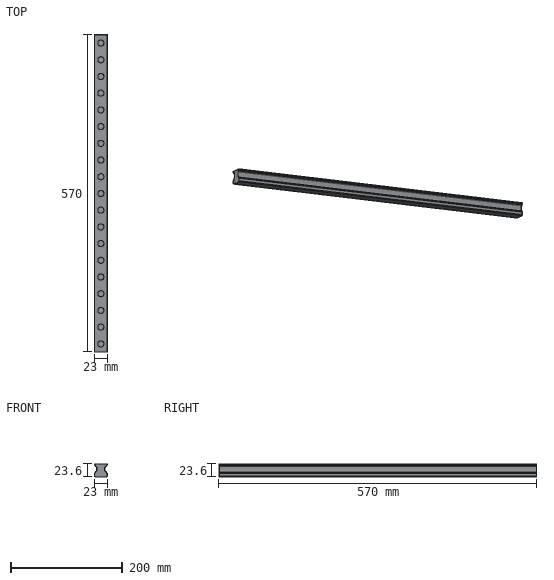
import cadquery as cq

RAIL_WIDTH = 23.0
RAIL_LENGTH = 570.0
RAIL_HEIGHT = 23.6

HALF_WIDTH = RAIL_WIDTH / 2
WAIST_HALF_WIDTH = 7.4
STEP_HALF_WIDTH = 9.9
FOOT_CHAMFER = 1.6
FOOT_EDGE_Z = 6.3
WAIST_BOTTOM_Z = 11.4
WAIST_TOP_Z = 17.4
HEAD_EDGE_Z = 22.0
WAIST_FILLET = 0.2

OUTER_FLANK_RISE = HALF_WIDTH - STEP_HALF_WIDTH
INNER_FLANK_RISE = STEP_HALF_WIDTH - WAIST_HALF_WIDTH

HOLE_PITCH = 30.0
HOLE_COUNT = round(RAIL_LENGTH / HOLE_PITCH)
CAP_DIAMETER = 11.0
CAP_RECESS_DEPTH = 0.2


def rail_body():
    """Extrude the waisted, mirror-symmetric section, centred along Y."""
    right_side = [
        (HALF_WIDTH - FOOT_CHAMFER, 0),
        (HALF_WIDTH, FOOT_CHAMFER),
        (HALF_WIDTH, FOOT_EDGE_Z),
        (STEP_HALF_WIDTH, FOOT_EDGE_Z + OUTER_FLANK_RISE),
        (STEP_HALF_WIDTH, WAIST_BOTTOM_Z - INNER_FLANK_RISE),
        (WAIST_HALF_WIDTH, WAIST_BOTTOM_Z),
        (WAIST_HALF_WIDTH, WAIST_TOP_Z),
        (STEP_HALF_WIDTH, WAIST_TOP_Z + INNER_FLANK_RISE),
        (STEP_HALF_WIDTH, HEAD_EDGE_Z - OUTER_FLANK_RISE),
        (HALF_WIDTH, HEAD_EDGE_Z),
        (HALF_WIDTH, RAIL_HEIGHT),
    ]
    left_side = [(-x, z) for x, z in reversed(right_side)]
    section = cq.Workplane("XZ").polyline(right_side + left_side).close()
    body = section.extrude(RAIL_LENGTH / 2, both=True)
    waist_zone = cq.selectors.BoxSelector(
        (-WAIST_HALF_WIDTH - WAIST_FILLET, -RAIL_LENGTH, WAIST_BOTTOM_Z - WAIST_FILLET),
        (WAIST_HALF_WIDTH + WAIST_FILLET, RAIL_LENGTH, WAIST_TOP_Z + WAIST_FILLET),
    )
    return body.edges("|Y").edges(waist_zone).fillet(WAIST_FILLET)


def cap_recesses():
    """Shallow round recesses that leave each hole cap just below the top face."""
    return (
        cq.Workplane("XY", origin=(0, 0, RAIL_HEIGHT))
        .rarray(1, HOLE_PITCH, 1, HOLE_COUNT)
        .circle(CAP_DIAMETER / 2)
        .extrude(-CAP_RECESS_DEPTH)
    )


result = rail_body().cut(cap_recesses())